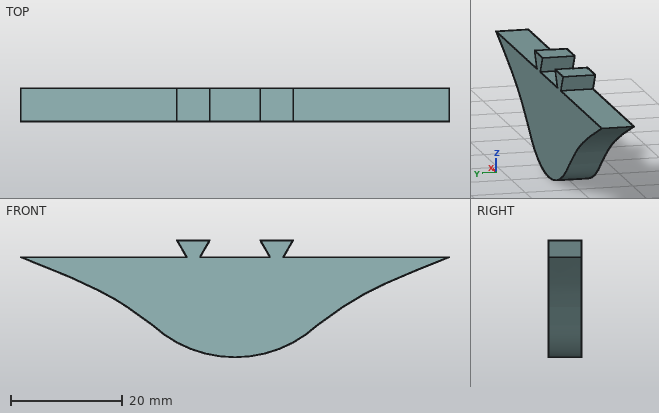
import cadquery as cq
import math

length = 77.2
thickness = 6.0
depth = 18.05

belly_half_width = 14.8
belly_end_z = -12.3

flank_half_width = 19.4
flank_end_z = -9.0

wing_tip_angle = 22.0
wing_root_angle = 34.0

tongue_height = 3.0
tongue_top_width = 5.9
tongue_flare_angle = 30.0
tongue_spacing = 15.0


def back_face_plane():
    """XZ workplane on the +Y face, so that extruding by the thickness centres on Y = 0."""
    return cq.Workplane("XZ", origin=(0, thickness / 2, 0))


def slope_direction(angle):
    """Unit direction, in the XZ plane, falling towards +X at the given angle."""
    radians = math.radians(angle)
    return (math.cos(radians), -math.sin(radians))


def rising(direction):
    """Mirror image of a falling direction about the centre plane."""
    return (direction[0], -direction[1])


def make_plate():
    """Flat-topped plate whose lower edge sweeps from two thin tips to a round belly."""
    tip_x = length / 2
    tip_direction = slope_direction(wing_tip_angle)
    root_direction = slope_direction(wing_root_angle)
    return (
        back_face_plane()
        .moveTo(-tip_x, 0)
        .spline(
            [(-flank_half_width, flank_end_z)],
            tangents=[tip_direction, root_direction],
            includeCurrent=True,
        )
        .lineTo(-belly_half_width, belly_end_z)
        .threePointArc((0, -depth), (belly_half_width, belly_end_z))
        .lineTo(flank_half_width, flank_end_z)
        .spline(
            [(tip_x, 0)],
            tangents=[rising(root_direction), rising(tip_direction)],
            includeCurrent=True,
        )
        .close()
        .extrude(thickness)
    )


def make_tongue(center_x):
    """Dovetail tongue standing on the top face, wider at its top than at its root."""
    half_top = tongue_top_width / 2
    half_root = half_top - tongue_height * math.tan(math.radians(tongue_flare_angle))
    return (
        back_face_plane()
        .moveTo(center_x - half_root, 0)
        .lineTo(center_x + half_root, 0)
        .lineTo(center_x + half_top, tongue_height)
        .lineTo(center_x - half_top, tongue_height)
        .close()
        .extrude(thickness)
    )


result = make_plate()
for side in (-1, 1):
    result = result.union(make_tongue(side * tongue_spacing / 2))